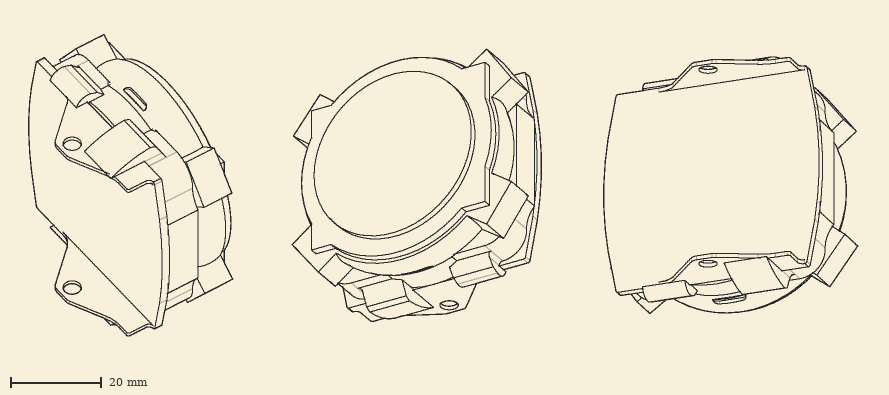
import cadquery as cq
import math

PLATE_BACK = 2.0
BLOCK_BACK = 10.0
DOME_BACK = 17.5
FLANGE_BACK = 19.5
DISC_BACK = 21.15
EAR_TIP = -11.0

PLATE_HALF_HEIGHT = 23.5
PLATE_HALF_WIDTH = 25.6
PLATE_CORNER_X = 22.6
PLATE_BEND_X = 24.55
PLATE_BEND_Z = 13.35
CORNER_RADIUS = 0.55
EAR_THICKNESS = 0.95
EAR_SLOPE_START_X = -9.9
EAR_TIP_LEFT_X = 0.05
EAR_TIP_RIGHT_X = 5.05
EAR_SHOULDER_X = 15.7
EAR_END_X = 21.0
EAR_SHOULDER_Y = -5.95
EAR_ROOT_MARGIN = 1.2
EAR_ROOT_RADIUS = 5.55
EAR_NECK_RADIUS = 1.15
EAR_TIP_RADIUS = 2.0
EAR_SHOULDER_RADIUS = 8.9
EAR_HOLE_DIAMETER = 4.0
EAR_HOLE_X = 2.45
EAR_HOLE_Y = -7.95

BLOCK_HALF_WIDTH = 25.0
BLOCK_HALF_HEIGHT = 22.5
BLOCK_CORNER_RADIUS = 6.0
BLOCK_CORNER_X = 22.9
HOLLOW_TOP_Z = 16.1
SIDE_FLAT_HALF_HEIGHT = 10.9
BARREL_RADIUS = 23.9
BARREL_FRONT = 2.6

CLIP_WIDTH = 10.05
CLIP_ROOT_Y = 7.2
CLIP_FOOT_RADIUS = 0.9
SMALL_CLIP_X = -10.95
LARGE_CLIP_X = 10.9
OVERALL_HEIGHT = 53.9
SMALL_CLIP_PROFILE = [(4.7, 25.0), (2.85, 25.65), (0.15, 25.1), (-0.95, PLATE_HALF_HEIGHT)]
LARGE_CLIP_PROFILE = [(5.0, 26.35), (3.55, OVERALL_HEIGHT / 2), (-1.95, 25.8), (-7.05, PLATE_HALF_HEIGHT)]

DOME_BACK_RADIUS = 24.9
DOME_MAX_RADIUS = 25.4
DOME_MAX_Y = 13.45
LIP_FRONT = 9.2
SLOT_LENGTH = 7.8
SLOT_WIDTH = 1.35
SLOT_Y = 10.85
SLOT_FLOOR_Z = 24.2
SLOT_CORNER_RADIUS = 1.1
LUG_WIDTH = 10.95
LUG_LENGTH = 13.9
LUGS = [
    (145.0, 30.45, -0.085),
    (38.3, 29.95, -0.65),
    (-37.3, 30.15, 0.5),
    (-145.0, 30.45, 0.085),
]

FLANGE_DIAMETER = 48.2
FLANGE_LEFT_X = -22.5
FLANGE_RIGHT_X = 21.55
FLANGE_TAB_HEIGHT = 35.0
DISC_DIAMETER = 39.9


def facing(back_y):
    """Workplane at back_y whose extrusions run towards -Y; local x is X and local y is Z."""
    return cq.Workplane("XZ", origin=(0, back_y, 0))


def both_ends(shape):
    """Add the mirror image of a shape in the Z = 0 plane."""
    return shape.union(shape.mirror("XY"))


def make_ear():
    rounded_corners = [
        (EAR_SLOPE_START_X, 0, EAR_ROOT_RADIUS),
        (EAR_TIP_LEFT_X, EAR_TIP, EAR_TIP_RADIUS),
        (EAR_TIP_RIGHT_X, EAR_TIP, EAR_TIP_RADIUS),
        (EAR_SHOULDER_X, EAR_SHOULDER_Y, EAR_SHOULDER_RADIUS),
        (EAR_END_X, EAR_SHOULDER_Y, CORNER_RADIUS),
        (EAR_END_X, 0, EAR_NECK_RADIUS),
    ]
    root_left = EAR_SLOPE_START_X - EAR_ROOT_RADIUS
    root_right = EAR_END_X + EAR_ROOT_MARGIN
    outline = [(root_left, PLATE_BACK), (root_left, 0)]
    outline += [(x, y) for x, y, _ in rounded_corners]
    outline += [(root_right, 0), (root_right, PLATE_BACK)]
    bottom_z = PLATE_HALF_HEIGHT - EAR_THICKNESS
    ear = cq.Workplane("XY", origin=(0, 0, bottom_z)).polyline(outline).close().extrude(EAR_THICKNESS)
    for x, y, radius in rounded_corners:
        corner = cq.NearestToPointSelector((x, y, bottom_z + EAR_THICKNESS / 2))
        ear = ear.edges("|Z").edges(corner).fillet(radius)
    hole = (
        cq.Workplane("XY", origin=(EAR_HOLE_X, EAR_HOLE_Y, bottom_z))
        .circle(EAR_HOLE_DIAMETER / 2)
        .extrude(EAR_THICKNESS)
    )
    return ear.cut(hole)


def make_bracket():
    plate = (
        facing(PLATE_BACK)
        .moveTo(-PLATE_CORNER_X, PLATE_HALF_HEIGHT)
        .lineTo(PLATE_CORNER_X, PLATE_HALF_HEIGHT)
        .lineTo(PLATE_BEND_X, PLATE_BEND_Z)
        .threePointArc((PLATE_HALF_WIDTH, 0), (PLATE_BEND_X, -PLATE_BEND_Z))
        .lineTo(PLATE_CORNER_X, -PLATE_HALF_HEIGHT)
        .lineTo(-PLATE_CORNER_X, -PLATE_HALF_HEIGHT)
        .lineTo(-PLATE_BEND_X, -PLATE_BEND_Z)
        .threePointArc((-PLATE_HALF_WIDTH, 0), (-PLATE_BEND_X, PLATE_BEND_Z))
        .close()
        .extrude(PLATE_BACK)
    )
    for edge_side in (">Z", "<Z"):
        plate = plate.faces(edge_side).edges("|Y").fillet(CORNER_RADIUS)
    return plate.union(both_ends(make_ear()))


def make_block():
    """One quarter, mirrored twice: flat side, hollow arc, rounded corner, flat top."""
    corner_z = BLOCK_HALF_HEIGHT - BLOCK_CORNER_RADIUS
    top_x = BLOCK_CORNER_X - BLOCK_CORNER_RADIUS
    run_x = BLOCK_HALF_WIDTH - BLOCK_CORNER_X
    run_z = HOLLOW_TOP_Z - SIDE_FLAT_HALF_HEIGHT
    hollow_radius = (run_x**2 + run_z**2) / (2 * run_x)
    half_sweep = math.asin(run_z / hollow_radius) / 2
    hollow_x = BLOCK_CORNER_X + hollow_radius * (1 - math.cos(half_sweep))
    hollow_z = HOLLOW_TOP_Z - hollow_radius * math.sin(half_sweep)
    diagonal = BLOCK_CORNER_RADIUS * math.sqrt(0.5)
    quarter = (
        facing(BLOCK_BACK)
        .lineTo(BLOCK_HALF_WIDTH, 0)
        .lineTo(BLOCK_HALF_WIDTH, SIDE_FLAT_HALF_HEIGHT)
        .threePointArc((hollow_x, hollow_z), (BLOCK_CORNER_X, HOLLOW_TOP_Z))
        .threePointArc((top_x + diagonal, corner_z + diagonal), (top_x, BLOCK_HALF_HEIGHT))
        .lineTo(0, BLOCK_HALF_HEIGHT)
        .close()
        .extrude(BLOCK_BACK - PLATE_BACK)
    )
    half = quarter.union(quarter.mirror("YZ"))
    return both_ends(half).clean()


def make_clip(center_x, profile):
    """Clip with a two-stage ramp up from the block and an arc down to the bracket."""
    knee, crest, arc_middle, arc_end = profile
    return (
        cq.Workplane("YZ", origin=(center_x - CLIP_WIDTH / 2, 0, 0))
        .moveTo(PLATE_BACK, BLOCK_HALF_HEIGHT)
        .lineTo(CLIP_ROOT_Y, BLOCK_HALF_HEIGHT)
        .lineTo(*knee)
        .lineTo(*crest)
        .threePointArc(arc_middle, arc_end)
        .lineTo(PLATE_BACK, PLATE_HALF_HEIGHT)
        .close()
        .extrude(CLIP_WIDTH)
    )


def make_housing():
    """Block, round barrel and clips, with the outer foot of each clip rounded into the block."""
    barrel = facing(BLOCK_BACK).circle(BARREL_RADIUS).extrude(BLOCK_BACK - BARREL_FRONT)
    small_clip = make_clip(SMALL_CLIP_X, SMALL_CLIP_PROFILE)
    large_clip = make_clip(LARGE_CLIP_X, LARGE_CLIP_PROFILE)
    clips = both_ends(small_clip.union(large_clip))
    housing = make_block().union(barrel).union(clips)
    for x in (SMALL_CLIP_X - CLIP_WIDTH / 2, LARGE_CLIP_X + CLIP_WIDTH / 2):
        for z in (-BLOCK_HALF_HEIGHT, BLOCK_HALF_HEIGHT):
            clip_foot = cq.NearestToPointSelector((x, (PLATE_BACK + CLIP_ROOT_Y) / 2, z))
            housing = housing.edges("|Y").edges(clip_foot).fillet(CLIP_FOOT_RADIUS)
    return housing


def make_lug(angle, outer_distance, shift):
    return (
        facing(DOME_BACK)
        .transformed(rotate=(0, 0, angle))
        .center(outer_distance - LUG_LENGTH / 2, shift)
        .rect(LUG_LENGTH, LUG_WIDTH)
        .extrude(DOME_BACK - BLOCK_BACK)
    )


def make_dome(housing):
    """Dome with its slots and lugs, cut away where the housing fills its front lip."""
    dome = (
        cq.Workplane("XY")
        .moveTo(0, LIP_FRONT)
        .lineTo(BARREL_RADIUS, LIP_FRONT)
        .threePointArc((DOME_MAX_RADIUS, DOME_MAX_Y), (DOME_BACK_RADIUS, DOME_BACK))
        .lineTo(0, DOME_BACK)
        .close()
        .revolve(360, (0, 0, 0), (0, 1, 0))
    )
    slot = (
        cq.Workplane("XY", origin=(0, SLOT_Y, SLOT_FLOOR_Z))
        .rect(SLOT_LENGTH, SLOT_WIDTH)
        .extrude(DOME_MAX_RADIUS - SLOT_FLOOR_Z)
        .faces(">Y")
        .edges("|Z")
        .fillet(SLOT_CORNER_RADIUS)
    )
    dome = dome.cut(both_ends(slot))
    for angle, outer_distance, shift in LUGS:
        dome = dome.union(make_lug(angle, outer_distance, shift))
    return dome.cut(housing)


def make_flange():
    thickness = FLANGE_BACK - DOME_BACK
    ring = facing(FLANGE_BACK).circle(FLANGE_DIAMETER / 2).extrude(thickness)
    corner_tabs = (
        facing(FLANGE_BACK)
        .center((FLANGE_LEFT_X + FLANGE_RIGHT_X) / 2, 0)
        .rect(FLANGE_RIGHT_X - FLANGE_LEFT_X, FLANGE_TAB_HEIGHT)
        .extrude(thickness)
    )
    return ring.union(corner_tabs)


def make_disc():
    return facing(DISC_BACK).circle(DISC_DIAMETER / 2).extrude(DISC_BACK - FLANGE_BACK)


bracket = make_bracket()
housing = make_housing()
dome = make_dome(housing)
flange = make_flange()
disc = make_disc()

result = cq.Compound.makeCompound(
    [body.solids().val() for body in (bracket, housing, dome, flange, disc)]
)